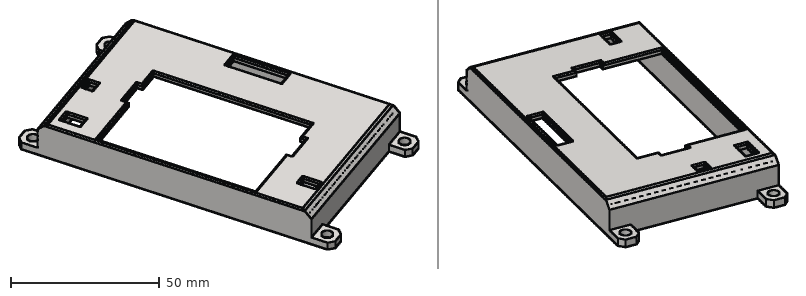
import cadquery as cq

length = 120.4
width = 64.4
height = 14.0

ear_size = 8.1
ear_thickness = 3.0
ear_chamfer = 1.9
hole_diameter = 4.0
hole_x = 56.0
hole_y = 28.2

body_length = length - 2 * ear_size
wall = 1.6
top_thickness = 2.0
side_chamfer = 3.0
rim_chamfer = 0.6

window_length = 60.0
window_back = 10.0
window_front = -30.5
notch_span = 64.0
notch_back = 1.9
notch_front = -8.1

openings = [
    (0.4, 27.5, 20.7, 4.9),
    (-45.5, -6.1, 3.1, 3.9),
    (-42.3, -25.0, 7.0, 4.0),
    (44.1, -18.4, 6.0, 3.1),
]


def top_cutter(center_x, center_y, size_x, size_y):
    """Box that passes through the top plate only."""
    return (
        cq.Workplane("XY", origin=(center_x, center_y, height - top_thickness))
        .rect(size_x, size_y)
        .extrude(top_thickness)
    )


def span_cutter(size_x, front, back):
    """Top cutter centred in X that reaches from front to back in Y."""
    return top_cutter(0, (front + back) / 2, size_x, back - front)


def make_cover():
    """Hollow cover with beveled long sides, its openings and a beveled top rim."""
    body = (
        cq.Workplane("XY")
        .box(body_length, width, height, centered=(True, True, False))
        .faces(">Z")
        .edges("|Y")
        .chamfer(side_chamfer)
    )
    cavity = cq.Workplane("XY").box(
        body_length - 2 * wall,
        width - 2 * wall,
        height - top_thickness,
        centered=(True, True, False),
    )
    body = body.cut(cavity)
    body = body.cut(span_cutter(window_length, window_front, window_back))
    body = body.cut(span_cutter(notch_span, notch_front, notch_back))
    for opening in openings:
        body = body.cut(top_cutter(*opening))
    return body.faces(">Z").edges().chamfer(rim_chamfer)


def make_ear(side_x, side_y):
    """Corner ear with beveled outer corners and a screw hole."""
    center_x = side_x * (length - ear_size) / 2
    center_y = side_y * (width - ear_size) / 2
    outer_edges = "|Z and >X" if side_x > 0 else "|Z and <X"
    hole = (
        cq.Workplane("XY", origin=(side_x * hole_x, side_y * hole_y, 0))
        .circle(hole_diameter / 2)
        .extrude(ear_thickness)
    )
    return (
        cq.Workplane("XY", origin=(center_x, center_y, 0))
        .box(ear_size, ear_size, ear_thickness, centered=(True, True, False))
        .edges(outer_edges)
        .chamfer(ear_chamfer)
        .cut(hole)
    )


result = make_cover()
for side_x in (-1, 1):
    for side_y in (-1, 1):
        result = result.union(make_ear(side_x, side_y))